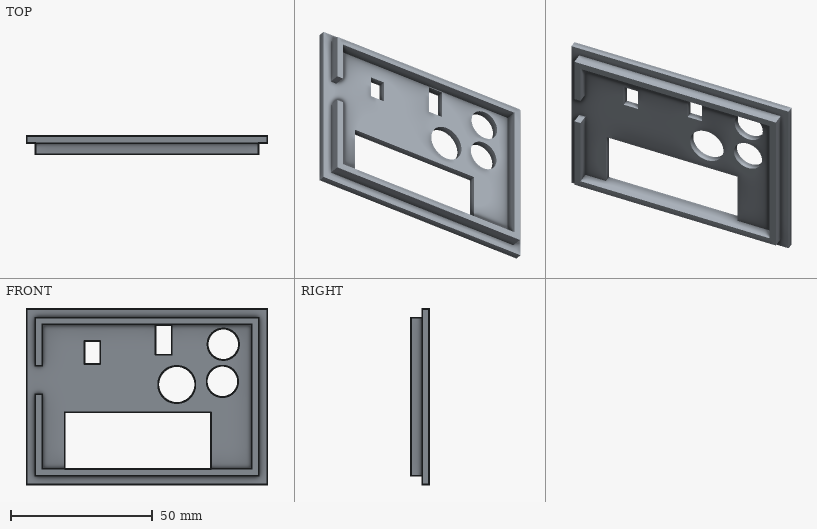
import cadquery as cq

plate_length = 85.0
plate_height = 62.0
plate_thickness = 2.5

rim_margin = 3.1
rim_wall = 2.4
rim_depth = 4.0
rim_inset = rim_margin + rim_wall

gap_bottom = 31.9
gap_height = 10.1

window_left = 13.5
window_length = 51.5
window_height = 20.0

slots = [
    (20.5, 42.6, 5.5, 8.0),
    (45.5, 45.8, 5.7, 10.4),
]

round_holes = [
    (53.0, 35.3, 13.0),
    (69.4, 49.5, 11.0),
    (69.1, 36.4, 11.0),
]


def block(left, bottom, length, height, front, depth):
    """Box given by its lower left corner in XZ, growing from Y = front toward +Y."""
    return cq.Workplane("XY").box(length, depth, height, centered=False).translate((left, front, bottom))


def inset_block(inset, front, depth):
    """Box with the outline of the plate shrunk by inset on all four sides."""
    return block(inset, inset, plate_length - 2 * inset, plate_height - 2 * inset, front, depth)


def make_rim():
    """Rectangular wall with an opening through its left side."""
    rim = inset_block(rim_margin, -rim_depth, rim_depth)
    rim = rim.cut(inset_block(rim_inset, -rim_depth, rim_depth))
    return rim.cut(block(rim_margin, gap_bottom, rim_wall, gap_height, -rim_depth, rim_depth))


def plate_opening(left, bottom, length, height):
    """Rectangular cutter through the plate thickness."""
    return block(left, bottom, length, height, 0, plate_thickness)


def round_opening(x, z, diameter):
    """Cylindrical cutter through the plate thickness."""
    return cq.Workplane("XZ", origin=(x, 0, z)).circle(diameter / 2).extrude(-plate_thickness)


def make_plate():
    """Flat plate with the window, slots and round holes cut through it."""
    plate = inset_block(0, 0, plate_thickness)
    plate = plate.cut(plate_opening(window_left, rim_inset, window_length, window_height))
    for slot in slots:
        plate = plate.cut(plate_opening(*slot))
    for hole in round_holes:
        plate = plate.cut(round_opening(*hole))
    return plate


result = make_plate().union(make_rim())